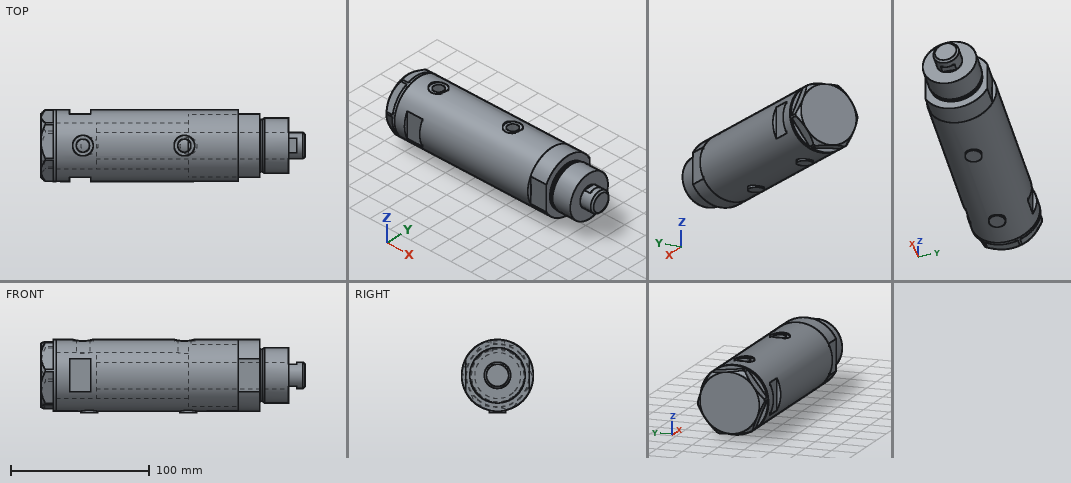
import cadquery as cq
import math

body_radius = 26.0
total_length = 191.0

cap_flange_start = 8.8
barrel_start = 11.0
head_start = 142.7
head_shoulder = 158.4
collar_start = 161.8
collar_end = 179.2

hex_sides = 6
hex_across_flats = 45.8
hex_turn = 7.6
cap_chamfer = 3.0
spigot_radius = 16.6
spigot_end = 40.1

flat_spacing = 46.0
flat_start = 20.8
flat_length = 15.0

port_positions = (30.4, 103.7)
port_radius = 4.8
spotface_radius = 7.5
spotface_height = 24.8
boss_positions = (35.0, 106.5)
boss_radius = 6.1
boss_bottom = -27.1

head_spigot_radius = 22.5
head_spigot_start = 106.5
neck_radius = 19.5
groove_radius = 19.0
groove_start = 159.0
groove_end = 160.3
collar_radius = 20.0

shaft_radius = 9.5
shaft_chamfer = 1.5
shaft_flat_spacing = 16.0
shaft_flat_end = 185.0


def cylinder(radius, start, end):
    """Solid cylinder along X between two stations."""
    return cq.Workplane("YZ", origin=(start, 0, 0)).circle(radius).extrude(end - start)


def upright_cylinder(radius, x, bottom, top):
    """Solid cylinder along Z between two heights, centered over the X axis."""
    return cq.Workplane("XY", origin=(x, 0, bottom)).circle(radius).extrude(top - bottom)


def flat_cutters(spacing, start, end, depth_axis):
    """Two blocks outside a pair of parallel faces, spaced along Y or Z."""
    block = 2 * body_radius
    middle = (start + end) / 2
    offset = (spacing + block) / 2
    if depth_axis == "Y":
        centers = [(middle, -offset, 0), (middle, offset, 0)]
    else:
        centers = [(middle, 0, -offset), (middle, 0, offset)]
    return cq.Workplane().pushPoints(centers).box(end - start, block, block)


def make_cap():
    """Hexagon screw cap with a flange and a spigot that closes the bore."""
    chamfered_blank = cylinder(body_radius, 0, cap_flange_start).faces("<X").chamfer(cap_chamfer)
    hexagon = (
        cq.Workplane("YZ")
        .polygon(hex_sides, hex_across_flats / math.cos(math.pi / hex_sides))
        .extrude(cap_flange_start)
    )
    flange = cylinder(body_radius, cap_flange_start, barrel_start)
    spigot = cylinder(spigot_radius, barrel_start, spigot_end)
    cap = chamfered_blank.intersect(hexagon).union(flange).union(spigot)
    return cap.rotate((0, 0, 0), (1, 0, 0), -hex_turn)


def make_barrel():
    """Cylinder tube with wrench flats, two ports on top and two bosses below."""
    barrel = cylinder(body_radius, barrel_start, head_start)
    for x in boss_positions:
        barrel = barrel.union(upright_cylinder(boss_radius, x, boss_bottom, 0))
    barrel = barrel.cut(flat_cutters(flat_spacing, flat_start, flat_start + flat_length, "Y"))
    for x in port_positions:
        barrel = barrel.cut(upright_cylinder(port_radius, x, 0, body_radius))
        barrel = barrel.cut(upright_cylinder(spotface_radius, x, spotface_height, body_radius))
    barrel = barrel.cut(cylinder(spigot_radius, barrel_start, head_start))
    return barrel.cut(cylinder(head_spigot_radius, head_spigot_start, head_start))


def make_head():
    """Shaft guide with a spigot, wrench flats, a tapered groove and an end collar."""
    flanks = cylinder(body_radius, head_start, head_shoulder)
    flanks = flanks.cut(flat_cutters(flat_spacing, head_start, head_shoulder, "Y"))
    head = cylinder(head_spigot_radius, head_spigot_start, head_start).union(flanks)
    nose = (
        cq.Workplane("XZ")
        .moveTo(head_shoulder, 0)
        .lineTo(head_shoulder, neck_radius)
        .lineTo(groove_start, groove_radius)
        .lineTo(groove_end, groove_radius)
        .lineTo(collar_start, collar_radius)
        .lineTo(collar_end, collar_radius)
        .lineTo(collar_end, 0)
        .close()
        .revolve(360, (0, 0, 0), (1, 0, 0))
    )
    head = head.union(nose)
    return head.cut(cylinder(shaft_radius, head_spigot_start, collar_end))


def make_shaft():
    """Round shaft with a chamfered tip and a pair of flats behind it."""
    shaft = cylinder(shaft_radius, spigot_end, total_length).faces(">X").chamfer(shaft_chamfer)
    return shaft.cut(flat_cutters(shaft_flat_spacing, collar_end, shaft_flat_end, "Z"))


cap = make_cap()
barrel = make_barrel()
head = make_head()
shaft = make_shaft()

result = cq.Compound.makeCompound([cap.val(), barrel.val(), head.val(), shaft.val()])